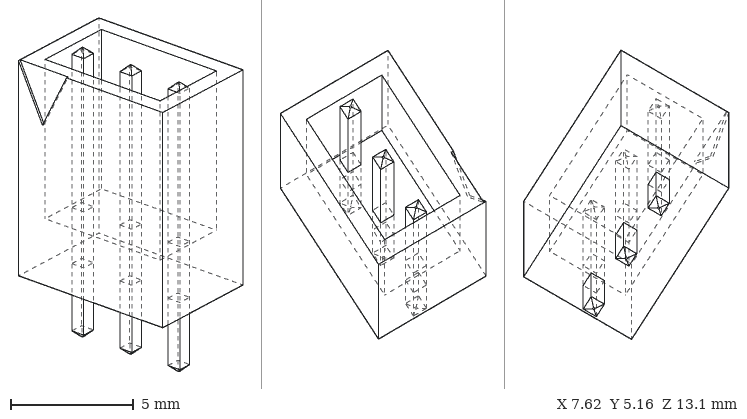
import cadquery as cq

housing_length = 7.62
housing_width = 5.16
overall_height = 13.1
tail_length = 3.33
housing_height = overall_height - tail_length
wall = 0.77
floor_thickness = 2.54

pin_count = 3
pin_pitch = 2.54
pin_size = 0.63
pin_tip_chamfer = 0.28

mark_width = pin_pitch
mark_height = 2.54
mark_depth = 0.1

pin_length = overall_height
pin_positions = [(i - (pin_count - 1) / 2) * pin_pitch for i in range(pin_count)]


def make_mark():
    """Triangular prism sunk into the -Y face at the -X upper corner."""
    left = -housing_length / 2
    return (
        cq.Workplane("XZ", origin=(0, -housing_width / 2, 0))
        .moveTo(left, overall_height)
        .lineTo(left + mark_width, overall_height)
        .lineTo(left + mark_width / 2, overall_height - mark_height)
        .close()
        .extrude(-mark_depth)
    )


def make_housing():
    """Box with a rectangular pocket, the pin 1 mark and square pin holes."""
    box = (
        cq.Workplane("XY", origin=(0, 0, tail_length))
        .rect(housing_length, housing_width)
        .extrude(housing_height)
    )
    pocket = (
        cq.Workplane("XY", origin=(0, 0, tail_length + floor_thickness))
        .rect(housing_length - 2 * wall, housing_width - 2 * wall)
        .extrude(housing_height - floor_thickness)
    )
    pin_holes = (
        cq.Workplane("XY", origin=(0, 0, tail_length))
        .pushPoints([(x, 0) for x in pin_positions])
        .rect(pin_size, pin_size)
        .extrude(floor_thickness)
    )
    return box.cut(pocket).cut(make_mark()).cut(pin_holes)


def make_pin(x):
    """Square pin centred at x, chamfered at both ends almost to a point."""
    return (
        cq.Workplane("XY", origin=(x, 0, 0))
        .rect(pin_size, pin_size)
        .extrude(pin_length)
        .faces("<Z or >Z")
        .chamfer(pin_tip_chamfer)
    )


housing = make_housing()
pins = [make_pin(x) for x in pin_positions]

result = cq.Compound.makeCompound([housing.val(), *[pin.val() for pin in pins]])